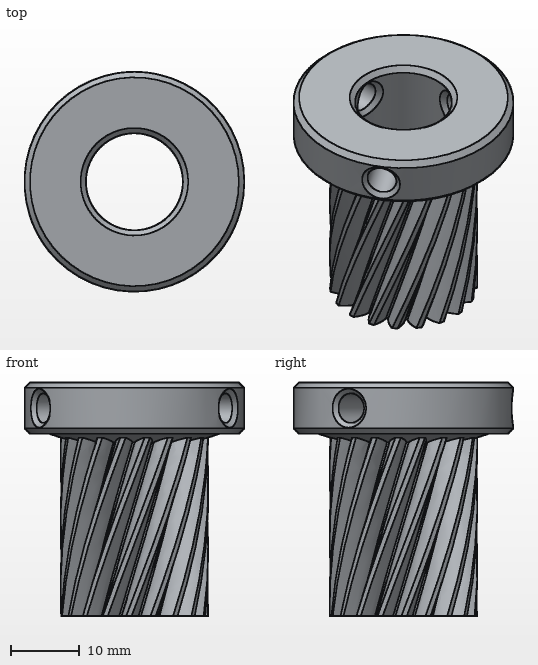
import cadquery as cq
import math

TOTAL_HEIGHT = 34.0
COLLAR_HEIGHT = 7.5
COLLAR_BOTTOM = TOTAL_HEIGHT - COLLAR_HEIGHT

COLLAR_RADIUS = 32.0 / 2
COLLAR_CHAMFER = 0.8
BORE_RADIUS = 14.08 / 2
BORE_CHAMFER = 0.78

CONE_RADIUS = 12.35
CONE_ANGLE = 18.0

TOOTH_COUNT = 19
TIP_RADIUS = 21.5 / 2
ROOT_RADIUS = 8.57
ROOT_GAP = 0.35
HELIX_TWIST = 53.3
FIRST_TOOTH_ANGLE = 265.7
FLANK_POINTS = 5

HOLE_DIAMETER = 4.3
HOLE_CHAMFER = 0.68
HOLE_ANGLES = (90.0, 210.0, 330.0)
HOLE_HEIGHT = COLLAR_BOTTOM + COLLAR_HEIGHT / 2


def polar(radius, angle):
    """Point at a radius and an angle in radians."""
    return (radius * math.cos(angle), radius * math.sin(angle))


def half_tooth_angle(radius):
    """Half of the angle a tooth spans at the given radius."""
    half_at_root = math.pi / TOOTH_COUNT - ROOT_GAP / (2 * ROOT_RADIUS)
    roll_angle = math.acos(ROOT_RADIUS / radius)
    return half_at_root - (math.tan(roll_angle) - roll_angle)


def gear_outline():
    """Involute teeth with lands on the tip circle and narrow gaps on the root circle."""
    step = (TIP_RADIUS - ROOT_RADIUS) / (FLANK_POINTS - 1)
    flank_radii = [ROOT_RADIUS + i * step for i in range(FLANK_POINTS)]
    pitch_angle = 2 * math.pi / TOOTH_COUNT
    first = math.radians(FIRST_TOOTH_ANGLE)

    outline = cq.Workplane("XY").moveTo(*polar(ROOT_RADIUS, first - half_tooth_angle(ROOT_RADIUS)))
    for tooth in range(TOOTH_COUNT):
        middle = first + tooth * pitch_angle
        rising = [polar(r, middle - half_tooth_angle(r)) for r in flank_radii]
        falling = [polar(r, middle + half_tooth_angle(r)) for r in reversed(flank_radii)]
        gap_middle = polar(ROOT_RADIUS, middle + pitch_angle / 2)
        next_foot = polar(ROOT_RADIUS, middle + pitch_angle - half_tooth_angle(ROOT_RADIUS))
        outline = outline.spline(rising[1:], includeCurrent=True)
        outline = outline.threePointArc(polar(TIP_RADIUS, middle), falling[0])
        outline = outline.spline(falling[1:], includeCurrent=True)
        outline = outline.threePointArc(gap_middle, next_foot)
    return outline.close()


def gear():
    """Helical gear up to the collar, with the bore through it."""
    teeth = gear_outline().twistExtrude(COLLAR_BOTTOM, HELIX_TWIST)
    bore = cq.Workplane("XY").circle(BORE_RADIUS).extrude(COLLAR_BOTTOM)
    return teeth.cut(bore)


def collar():
    """Chamfered ring around the bore, with the shallow cone below it."""
    cone_drop = (CONE_RADIUS - BORE_RADIUS) * math.tan(math.radians(CONE_ANGLE))
    profile = [
        (BORE_RADIUS, COLLAR_BOTTOM - cone_drop),
        (CONE_RADIUS, COLLAR_BOTTOM),
        (COLLAR_RADIUS - COLLAR_CHAMFER, COLLAR_BOTTOM),
        (COLLAR_RADIUS, COLLAR_BOTTOM + COLLAR_CHAMFER),
        (COLLAR_RADIUS, TOTAL_HEIGHT - COLLAR_CHAMFER),
        (COLLAR_RADIUS - COLLAR_CHAMFER, TOTAL_HEIGHT),
        (BORE_RADIUS + BORE_CHAMFER, TOTAL_HEIGHT),
        (BORE_RADIUS, TOTAL_HEIGHT - BORE_CHAMFER),
    ]
    return cq.Workplane("XZ").polyline(profile).close().revolve(360, (0, 0), (0, 1))


def radial_hole(angle):
    """Cutter for one hole, reaching from the part's axis to beyond the rim."""
    cutter = cq.Workplane("YZ").circle(HOLE_DIAMETER / 2).extrude(2 * COLLAR_RADIUS)
    return cutter.rotate((0, 0, 0), (0, 0, 1), angle).translate((0, 0, HOLE_HEIGHT))


def drilled_collar():
    """Collar with radial holes chamfered where they meet the bore and the rim."""
    body = collar()
    for angle in HOLE_ANGLES:
        body = body.cut(radial_hole(angle))
    hole_edges = body.edges("(not %CIRCLE) and (not %LINE)")
    return hole_edges.chamfer(HOLE_CHAMFER)


result = gear().union(drilled_collar())